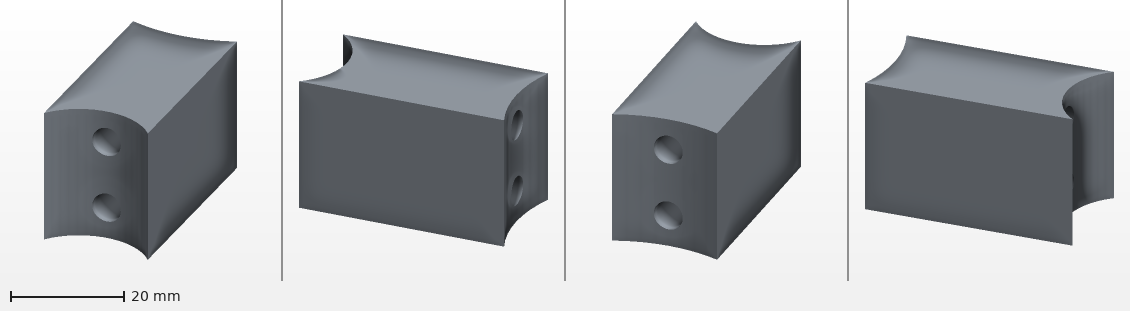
import cadquery as cq
import math

WIDTH = 20.0
LENGTH = 39.33
HEIGHT = 25.0
FRONT_RADIUS = 12.5
REAR_RADIUS = 28.0
HOLE_DIAMETER = 5.5
HOLE_SPACING = 13.0

HALF_WIDTH = WIDTH / 2
HALF_LENGTH = LENGTH / 2


def seat_depth(radius):
    """Depth of a circular seat whose chord spans the full width."""
    return radius - math.sqrt(radius**2 - HALF_WIDTH**2)


def make_body():
    """Block with a concave cylindrical seat at each end, centred on the origin."""
    front_bottom = -HALF_LENGTH + seat_depth(FRONT_RADIUS)
    rear_bottom = HALF_LENGTH - seat_depth(REAR_RADIUS)
    return (
        cq.Workplane("XY")
        .moveTo(-HALF_WIDTH, -HALF_LENGTH)
        .threePointArc((0, front_bottom), (HALF_WIDTH, -HALF_LENGTH))
        .lineTo(HALF_WIDTH, HALF_LENGTH)
        .threePointArc((0, rear_bottom), (-HALF_WIDTH, HALF_LENGTH))
        .close()
        .extrude(HEIGHT / 2, both=True)
    )


def make_holes():
    """Two through holes along Y, one above the other."""
    return (
        cq.Workplane("XZ")
        .rarray(1, HOLE_SPACING, 1, 2)
        .circle(HOLE_DIAMETER / 2)
        .extrude(LENGTH, both=True)
    )


result = make_body().cut(make_holes())